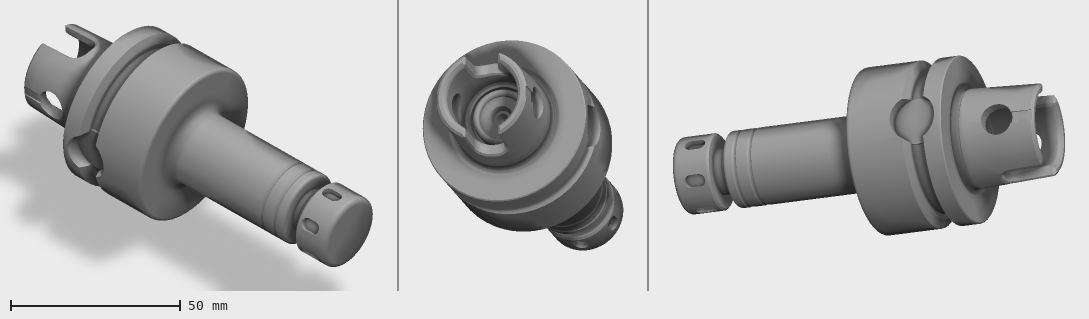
import cadquery as cq

taper_end = 22.9
relief_start = 23.2
relief_end = 24.3
flange_face = 25.0
groove_rim_left = 30.7
groove_left = 32.0
groove_right = 35.9
groove_rim_right = 37.3
body_end = 55.0
shank_end = 98.9
nut_start = 103.4
nut_end = 115.0

tip_radius = 13.8
taper_radius = 14.8
taper_slope = (taper_radius - tip_radius) / taper_end
tip_chamfer = 0.8

relief_radius = taper_radius - 0.2
recess_floor = flange_face + 0.5
recess_outer_radius = 17.0
recess_floor_outer = 16.0
recess_floor_inner = 15.3

flange_radius = 25.01
flange_chamfer = 0.3
groove_floor_radius = 20.8
groove_wall_radius = 22.4
body_edge_fillet = 1.2

shank_radius = 11.5
shank_root_fillet = 3.1
shank_end_fillet = 1.0
ring_groove_starts = (89.8, 94.6)
ring_groove_width = 1.4
ring_groove_depth = 0.3
neck_radius = 7.0
neck_groove_start = 100.5
neck_groove_end = 100.9
neck_groove_radius = neck_radius - 0.2

nut_radius = shank_radius
nut_chamfer = 0.6
nut_fillet = 1.6
nut_slot_count = 6
nut_slot_center = 108.1
nut_slot_length = 6.4
nut_slot_width = 3.9
nut_slot_floor = 9.4

mouth_radius = 12.0
mouth_bevel_radius = 11.2
mouth_bevel_end = 0.8
bore_radius = 10.8
bore_start = 1.5
bore_depth = 21.8
bore_bottom_chamfer = 0.6

gap_outer_radius = 9.4
gap_depth = 25.3
core_radius = 8.6
core_face_radius = 6.4
lip_radius = (core_radius - core_face_radius) / 2
core_face = 21.8
plug_start = core_face - 2 * lip_radius
counterbore_radius = 3.51
counterbore_floor_radius = 2.59
counterbore_depth = 1.7
core_hole_radius = 1.7
core_hole_tip_radius = 0.86
core_hole_depth = 3.5

drive_slot_end = 14.3
drive_slot_width = 10.0
drive_slot_corner = 3.8
drive_slot_chamfer = 0.6
drive_slot_mouth_chamfer = 0.8
cross_hole_x = 11.4
cross_hole_diameter = 9.5
flat_width = 3.3
flat_level = 13.5

pocket_x = 33.9
pocket_diameter = 14.0
pocket_level = 20.2
pocket_base = 17.2


def turned(profile):
    """Revolve a closed profile, drawn as (x, radius), about the X axis."""
    return profile.close().revolve(360, (0, 0, 0), (1, 0, 0))


def taper_sleeve():
    """Conical sleeve with a plain bore and square tip."""
    profile = (
        cq.Workplane("XY")
        .moveTo(0, bore_radius)
        .lineTo(0, tip_radius)
        .lineTo(taper_end, taper_radius)
        .lineTo(taper_end, bore_radius)
    )
    return turned(profile)


def drive_slots():
    """One cutter through both sides of the taper, rounded at its closed end."""
    return (
        cq.Workplane("XY")
        .box(2 * drive_slot_end, drive_slot_width, 4 * tip_radius)
        .edges("|Z and >X")
        .fillet(drive_slot_corner)
    )


def drive_slot_mouth():
    """Bevels the corners where the drive slots leave the tip."""
    half_width = drive_slot_width / 2
    flared_half_width = half_width + drive_slot_mouth_chamfer
    return (
        cq.Workplane("XY")
        .moveTo(0, -flared_half_width)
        .lineTo(0, flared_half_width)
        .lineTo(drive_slot_mouth_chamfer, half_width)
        .lineTo(drive_slot_mouth_chamfer, -half_width)
        .close()
        .extrude(2 * tip_radius, both=True)
    )


def tip_bevel():
    """Ring that bevels the outer edge of the tip."""
    profile = (
        cq.Workplane("XY")
        .moveTo(0, tip_radius - tip_chamfer)
        .lineTo(tip_chamfer, tip_radius + taper_slope * tip_chamfer)
        .lineTo(tip_chamfer, tip_radius + tip_chamfer)
        .lineTo(0, tip_radius + tip_chamfer)
    )
    return turned(profile)


def bore():
    """Cutter for the bore, leaving the core standing at its bottom."""
    counterbore_floor = core_face + counterbore_depth
    core_hole_end = core_face + core_hole_depth
    profile = (
        cq.Workplane("XY")
        .lineTo(0, mouth_radius)
        .lineTo(mouth_bevel_end, mouth_bevel_radius)
        .lineTo(bore_start, bore_radius)
        .lineTo(bore_depth - bore_bottom_chamfer, bore_radius)
        .lineTo(bore_depth, bore_radius - bore_bottom_chamfer)
        .lineTo(bore_depth, gap_outer_radius)
        .lineTo(gap_depth, gap_outer_radius)
        .lineTo(gap_depth, core_radius)
        .lineTo(core_face, core_radius)
        .threePointArc(
            (core_face - lip_radius, core_radius - lip_radius), (core_face, core_face_radius)
        )
        .lineTo(core_face, counterbore_radius)
        .lineTo(counterbore_floor, counterbore_floor_radius)
        .lineTo(counterbore_floor, core_hole_radius)
        .lineTo(core_hole_end, core_hole_tip_radius)
        .lineTo(core_hole_end + core_hole_tip_radius, 0)
    )
    return turned(profile)


def flange_and_body():
    """Plug closing the taper, relief behind it, flange with its groove, and the body."""
    profile = (
        cq.Workplane("XY")
        .moveTo(plug_start, 0)
        .lineTo(plug_start, bore_radius)
        .lineTo(taper_end, bore_radius)
        .lineTo(taper_end, taper_radius)
        .lineTo(relief_start, relief_radius)
        .lineTo(relief_end, relief_radius)
        .tangentArcPoint((recess_floor, recess_floor_inner), relative=False)
        .lineTo(recess_floor, recess_floor_outer)
        .lineTo(flange_face, recess_outer_radius)
        .lineTo(flange_face, flange_radius - flange_chamfer)
        .lineTo(flange_face + flange_chamfer, flange_radius)
        .lineTo(groove_rim_left, flange_radius)
        .lineTo(groove_left, groove_wall_radius)
        .lineTo(groove_left, groove_floor_radius)
        .lineTo(groove_right, groove_floor_radius)
        .lineTo(groove_right, groove_wall_radius)
        .lineTo(groove_rim_right, flange_radius)
        .lineTo(body_end - body_edge_fillet, flange_radius)
        .radiusArc((body_end, flange_radius - body_edge_fillet), body_edge_fillet)
        .lineTo(body_end, 0)
    )
    return turned(profile)


def shank_and_nut():
    """Shank with its ring grooves, neck and plain nut."""
    profile = (
        cq.Workplane("XY")
        .moveTo(body_end, 0)
        .lineTo(body_end, shank_radius + shank_root_fillet)
        .radiusArc((body_end + shank_root_fillet, shank_radius), -shank_root_fillet)
    )
    for start in ring_groove_starts:
        profile = profile.lineTo(start, shank_radius).threePointArc(
            (start + ring_groove_width / 2, shank_radius - ring_groove_depth),
            (start + ring_groove_width, shank_radius),
        )
    profile = (
        profile.lineTo(shank_end - shank_end_fillet, shank_radius)
        .radiusArc((shank_end, shank_radius - shank_end_fillet), shank_end_fillet)
        .lineTo(shank_end, neck_radius)
        .lineTo(neck_groove_start, neck_radius)
        .lineTo(neck_groove_start, neck_groove_radius)
        .lineTo(neck_groove_end, neck_groove_radius)
        .lineTo(neck_groove_end, neck_radius)
        .lineTo(nut_start, neck_radius)
        .lineTo(nut_start, nut_radius - nut_chamfer)
        .lineTo(nut_start + nut_chamfer, nut_radius)
        .lineTo(nut_end - nut_fillet, nut_radius)
        .radiusArc((nut_end, nut_radius - nut_fillet), nut_fillet)
        .lineTo(nut_end, 0)
    )
    return turned(profile)


def cross_hole():
    """Cutter through both walls of the taper along Y."""
    return (
        cq.Workplane("XZ", origin=(cross_hole_x, 0, 0))
        .circle(cross_hole_diameter / 2)
        .extrude(2 * tip_radius, both=True)
    )


def flat(side):
    """Shallow flat from the tip to the cross hole on the +Y or -Y side."""
    return (
        cq.Workplane("XY", origin=(0, side * (flat_level + flat_width / 2), 0))
        .box(cross_hole_x, flat_width, flat_width, centered=(False, True, True))
    )


def gripper_disc(start, end, side):
    """Round disc across the flange groove between two levels on the +Y or -Y side."""
    return (
        cq.Workplane("XZ", origin=(pocket_x, side * start, 0))
        .circle(pocket_diameter / 2)
        .extrude(-side * (end - start))
    )


def nut_slot(angle):
    """Flat-bottomed wrench slot, turned about X from the +Z direction."""
    return (
        cq.Workplane("XY", origin=(nut_slot_center, 0, nut_slot_floor))
        .slot2D(nut_slot_length, nut_slot_width)
        .extrude(nut_radius)
        .rotate((0, 0, 0), (1, 0, 0), angle)
    )


result = taper_sleeve().cut(drive_slots())
slot_rims = cq.selectors.BoxSelector(
    (tip_chamfer, -drive_slot_width, -2 * tip_radius),
    (drive_slot_end + drive_slot_chamfer, drive_slot_width, 2 * tip_radius),
)
result = result.edges("not |Z").edges(slot_rims).chamfer(drive_slot_chamfer)
result = result.cut(drive_slot_mouth()).cut(tip_bevel())

result = result.union(flange_and_body()).union(shank_and_nut())
result = result.cut(bore()).cut(cross_hole())

for side in (1, -1):
    result = result.cut(flat(side))
    result = result.union(gripper_disc(pocket_base, pocket_level, side))
    result = result.cut(gripper_disc(pocket_level, flange_radius, side))

for index in range(nut_slot_count):
    result = result.cut(nut_slot(index * 360 / nut_slot_count))